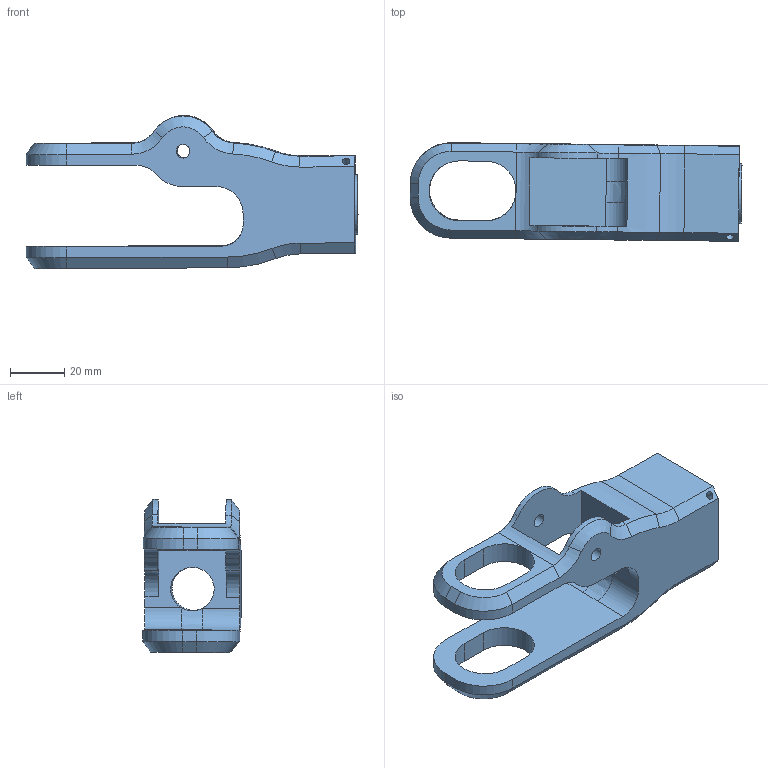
import cadquery as cq
import math

body_length = 121.0
body_width = 35.0
fork_half_height = 23.0
shank_half_height = 18.0
shank_length = 20.0
tip_corner_radius = 15.0

arm_thickness = 8.0
arm_inner_z = fork_half_height - arm_thickness
fork_root_x = 80.0
root_top_radius = 10.0
root_bottom_radius = 8.0

ear_x = 58.0
ear_z = 20.0
ear_radius = 13.0
ear_blend_radius = 10.0
pivot_diameter = 5.0

shoulder_convex_radius = 50.0
shoulder_concave_radius = 25.0

bevel_on_face = 3.0
bevel_on_side = 4.0

window_start_x = 44.0
window_width = 25.0
arm_slot_start_x = 7.0
arm_slot_length = 32.0
arm_slot_width = 22.0
bore_diameter = 16.0
collar_diameter = 22.0
collar_height = 1.0

pin_hole_diameter = 2.8
pin_hole_depth = 4.0
pin_hole_end_distance = 3.0

turn_x = 0.35
turn_y = -0.25
turn_z = -0.64

shoulder_drop = fork_half_height - shank_half_height
shoulder_angle = math.acos(1 - shoulder_drop / (shoulder_convex_radius + shoulder_concave_radius))
shank_x = body_length - shank_length
shoulder_mid_x = shank_x - shoulder_concave_radius * math.sin(shoulder_angle)
shoulder_start_x = shoulder_mid_x - shoulder_convex_radius * math.sin(shoulder_angle)
convex_center_z = fork_half_height - shoulder_convex_radius
concave_center_z = shank_half_height + shoulder_concave_radius


def toward(start, target, distance):
    """Point at the given distance from start on the line to target."""
    dx = target[0] - start[0]
    dz = target[1] - start[1]
    scale = distance / math.hypot(dx, dz)
    return (start[0] + dx * scale, start[1] + dz * scale)


def arc_middle(center, radius, start, end):
    """Middle of the shorter arc from start to end."""
    chord_middle = ((start[0] + end[0]) / 2, (start[1] + end[1]) / 2)
    return toward(center, chord_middle, radius)


def arc_to(path, center, radius, start, end):
    """Continue path from start to end along the shorter arc."""
    return path.threePointArc(arc_middle(center, radius, start, end), end)


def upper_circle_crossing(left_center, left_radius, right_center, right_radius):
    """Upper of the two points where two circles cross."""
    dx = right_center[0] - left_center[0]
    dz = right_center[1] - left_center[1]
    gap = math.hypot(dx, dz)
    along = (left_radius**2 - right_radius**2 + gap**2) / (2 * gap)
    aside = math.sqrt(left_radius**2 - along**2)
    return (
        left_center[0] + (along * dx - aside * dz) / gap,
        left_center[1] + (along * dz + aside * dx) / gap,
    )


def mirrored(point):
    """Point reflected across Z = 0."""
    return (point[0], -point[1])


def side_outline():
    """Outer side profile, without the fork opening."""
    ear = (ear_x, ear_z)
    convex = (shoulder_start_x, convex_center_z)
    concave = (shank_x, concave_center_z)
    reach = ear_radius + ear_blend_radius
    front_blend_z = fork_half_height + ear_blend_radius
    front_blend = (ear_x - math.sqrt(reach**2 - (front_blend_z - ear_z)**2), front_blend_z)
    rear_blend = upper_circle_crossing(
        ear, reach, convex, shoulder_convex_radius + ear_blend_radius
    )
    blend_start = (front_blend[0], fork_half_height)
    ear_front = toward(ear, front_blend, ear_radius)
    ear_top = (ear_x, ear_z + ear_radius)
    ear_rear = toward(ear, rear_blend, ear_radius)
    blend_end = toward(convex, rear_blend, shoulder_convex_radius)
    shoulder_mid = toward(convex, concave, shoulder_convex_radius)
    shoulder_end = (shank_x, shank_half_height)

    path = cq.Workplane("XZ").moveTo(0, -fork_half_height)
    path = path.lineTo(0, fork_half_height).lineTo(*blend_start)
    path = arc_to(path, front_blend, ear_blend_radius, blend_start, ear_front)
    path = path.threePointArc(ear_top, ear_rear)
    path = arc_to(path, rear_blend, ear_blend_radius, ear_rear, blend_end)
    path = arc_to(path, convex, shoulder_convex_radius, blend_end, shoulder_mid)
    path = arc_to(path, concave, shoulder_concave_radius, shoulder_mid, shoulder_end)
    path = path.lineTo(body_length, shank_half_height).lineTo(body_length, -shank_half_height)

    low_end = mirrored(shoulder_end)
    low_mid = mirrored(shoulder_mid)
    low_start = (shoulder_start_x, -fork_half_height)
    path = path.lineTo(*low_end)
    path = arc_to(path, mirrored(concave), shoulder_concave_radius, low_end, low_mid)
    path = arc_to(path, mirrored(convex), shoulder_convex_radius, low_mid, low_start)
    return path.close()


def beveled_body():
    body = side_outline().extrude(body_width / 2, both=True)
    body = body.edges("|Z and <X").fillet(tip_corner_radius)
    for tip_edge in (">Z", "<Z"):
        body = body.faces("<X").edges(tip_edge).chamfer(bevel_on_side, bevel_on_face)
    return body


def rounded_corner(shape, corner_z, radius):
    """Round the crosswise edge at the root of the fork at the given height."""
    corner = cq.selectors.NearestToPointSelector((fork_root_x, 0, corner_z))
    return shape.edges(corner).fillet(radius)


def fork_opening():
    """Opening between the arms; its upper side follows the ears."""
    ear = (ear_x, ear_z)
    reach = ear_radius + ear_blend_radius
    blend_z = arm_inner_z - ear_blend_radius
    blend = (ear_x - math.sqrt(reach**2 - (ear_z - blend_z)**2), blend_z)
    blend_start = (blend[0], arm_inner_z)
    ear_front = toward(ear, blend, ear_radius)
    ear_bottom = (ear_x, ear_z - ear_radius)
    path = cq.Workplane("XZ").moveTo(0, -arm_inner_z).lineTo(0, arm_inner_z).lineTo(*blend_start)
    path = arc_to(path, blend, ear_blend_radius, blend_start, ear_front)
    path = arc_to(path, ear, ear_radius, ear_front, ear_bottom)
    path = path.lineTo(fork_root_x, ear_bottom[1]).lineTo(fork_root_x, -arm_inner_z).close()
    opening = path.extrude(body_width, both=True)
    return rounded_corner(opening, ear_bottom[1], root_top_radius)


def ear_window():
    """Opening between the ears, down to where the upper root rounding ends."""
    floor_z = ear_z - ear_radius - root_top_radius
    height = ear_z + ear_radius - floor_z
    return (
        cq.Workplane("XY", origin=(window_start_x, 0, floor_z))
        .box(fork_root_x - window_start_x, window_width, height, centered=(False, True, False))
    )


def arm_slots():
    center_x = arm_slot_start_x + arm_slot_length / 2
    return (
        cq.Workplane("XY")
        .center(center_x, 0)
        .slot2D(arm_slot_length, arm_slot_width)
        .extrude(2 * fork_half_height, both=True)
    )


def pivot_hole():
    return (
        cq.Workplane("XZ")
        .center(ear_x, ear_z)
        .circle(pivot_diameter / 2)
        .extrude(body_width, both=True)
    )


def pin_hole():
    bevel_middle = cq.Vector(
        body_length - pin_hole_end_distance,
        -(body_width - bevel_on_face) / 2,
        shank_half_height - bevel_on_side / 2,
    )
    inward = cq.Vector(0, bevel_on_side, -bevel_on_face).normalized()
    start = bevel_middle - inward * pin_hole_depth
    return cq.Workplane(
        cq.Solid.makeCylinder(pin_hole_diameter / 2, 2 * pin_hole_depth, start, inward)
    )


def collar():
    return (
        cq.Workplane("YZ", origin=(body_length, 0, 0))
        .circle(collar_diameter / 2)
        .extrude(collar_height)
    )


def bore():
    return (
        cq.Workplane("YZ", origin=(fork_root_x, 0, 0))
        .circle(bore_diameter / 2)
        .extrude(body_length + collar_height - fork_root_x)
    )


def turned(part):
    for axis, angle in (((1, 0, 0), turn_x), ((0, 1, 0), turn_y), ((0, 0, 1), turn_z)):
        part = part.rotate((0, 0, 0), axis, angle)
    return part


part = beveled_body().union(collar())
for cut_shape in (fork_opening(), ear_window(), arm_slots(), pivot_hole(), pin_hole(), bore()):
    part = part.cut(cut_shape)
part = rounded_corner(part, -arm_inner_z, root_bottom_radius)
result = turned(part)